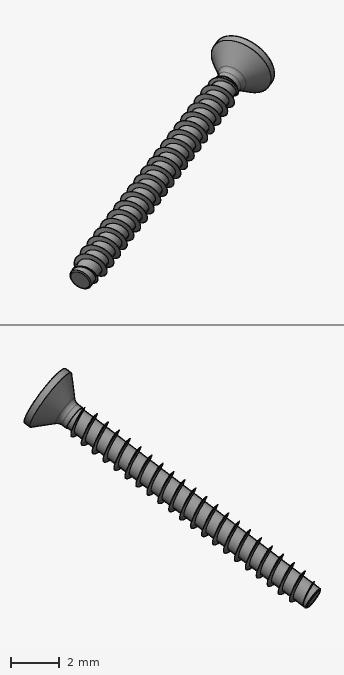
import cadquery as cq
import math

length = 14.0
head_diameter = 2.8
head_rim_height = 0.30
neck_diameter = 1.08
neck_end = 1.54
neck_fillet = 0.36
core_diameter = 1.0
tip_diameter = 0.88
tip_bevel_height = 0.04

thread_diameter = 1.42
thread_pitch = 0.57
thread_turns = 22
thread_start = 1.31
thread_start_angle = math.pi
fade_turns = 1.2
crest_width = 0.01
root_width = 0.15
root_embed = 0.06
points_per_turn = 24

head_radius = head_diameter / 2
neck_radius = neck_diameter / 2
core_radius = core_diameter / 2
tip_radius = tip_diameter / 2
thread_radius = thread_diameter / 2
thread_height = thread_radius - core_radius


def make_body():
    """Head, neck and core as one solid of revolution about Y."""
    cone_angle = math.pi / 4
    cone_height = (head_radius - neck_radius) / math.tan(cone_angle)
    cone_end = head_rim_height + cone_height
    fillet_setback = neck_fillet * math.tan(cone_angle / 2)
    fillet_rise = fillet_setback * math.sin(cone_angle)
    fillet_drop = fillet_setback * math.cos(cone_angle)
    fillet_end = cone_end + fillet_setback
    arc_half_angle = cone_angle / 2
    arc_middle = (
        neck_radius + neck_fillet * (1 - math.cos(arc_half_angle)),
        -(fillet_end - neck_fillet * math.sin(arc_half_angle)),
    )
    return (
        cq.Workplane("XY")
        .lineTo(head_radius, 0)
        .lineTo(head_radius, -head_rim_height)
        .lineTo(neck_radius + fillet_rise, -(cone_end - fillet_drop))
        .threePointArc(arc_middle, (neck_radius, -fillet_end))
        .lineTo(neck_radius, -neck_end)
        .lineTo(core_radius, -neck_end)
        .lineTo(core_radius, -(length - tip_bevel_height))
        .lineTo(tip_radius, -length)
        .lineTo(0, -length)
        .close()
        .revolve(360, (0, 0, 0), (0, 1, 0))
        .val()
    )


def thread_edge(radius, axial_offset, first_turn):
    """One turn of a helical edge of the given radius, less its sinking near the thread ends."""
    points = []
    for step in range(points_per_turn + 1):
        turn = first_turn + step / points_per_turn
        turns_to_end = min(turn, thread_turns - turn)
        sinking = thread_height * max(0, 1 - turns_to_end / fade_turns)
        angle = thread_start_angle + 2 * math.pi * turn
        along = thread_start + thread_pitch * turn + axial_offset
        points.append(
            cq.Vector(
                (radius - sinking) * math.cos(angle),
                -along,
                (radius - sinking) * math.sin(angle),
            )
        )
    return cq.Edge.makeSpline(points)


def make_thread_turn(first_turn):
    """One turn of the trapezoidal ridge bounded by ruled faces between four helical edges."""
    root_radius = core_radius - root_embed
    edges = [
        thread_edge(root_radius, -root_width / 2, first_turn),
        thread_edge(thread_radius, -crest_width / 2, first_turn),
        thread_edge(thread_radius, crest_width / 2, first_turn),
        thread_edge(root_radius, root_width / 2, first_turn),
    ]
    faces = [cq.Face.makeRuledSurface(edges[i - 1], edges[i]) for i in range(len(edges))]
    for end in (0, 1):
        corners = [edge.positionAt(end) for edge in edges]
        faces.append(cq.Face.makeFromWires(cq.Wire.makePolygon(corners, close=True)))
    return cq.Solid.makeSolid(cq.Shell.makeShell(faces))


thread = [make_thread_turn(turn) for turn in range(thread_turns)]
result = cq.Workplane("XY").newObject([make_body().fuse(*thread)])